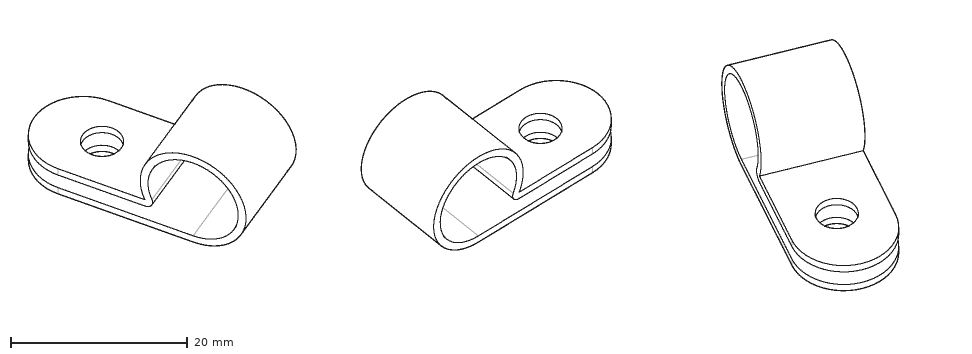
import cadquery as cq
import math

length = 30.2
width = 12.5
thickness = 1.0
loop_diameter = 13.5
tab_gap = 2.0
hole_diameter = 4.9
hole_x = 8.65

outer_radius = loop_diameter / 2
inner_radius = outer_radius - thickness
loop_x = length - outer_radius
loop_z = outer_radius

upper_bottom = thickness + tab_gap
upper_top = upper_bottom + thickness

bend_angle = math.pi - math.asin((upper_top - loop_z) / outer_radius)


def polar(center, radius, angle):
    """Point on a circle in the XZ profile."""
    return (center[0] + radius * math.cos(angle), center[1] + radius * math.sin(angle))


loop_center = (loop_x, loop_z)
corner = polar(loop_center, outer_radius, bend_angle)
bend_end = polar(loop_center, inner_radius, bend_angle)
bend_start_angle = -math.pi / 2
bend_end_angle = bend_angle - math.pi
bend_middle = polar(corner, thickness, (bend_start_angle + bend_end_angle) / 2)

loop_middle_angle = (-math.pi / 2 + bend_angle) / 2


def make_strap():
    """Bent strap extruded symmetrically across its width."""
    return (
        cq.Workplane("XZ")
        .moveTo(0, 0)
        .lineTo(loop_x, 0)
        .threePointArc(polar(loop_center, outer_radius, loop_middle_angle), corner)
        .lineTo(0, upper_top)
        .lineTo(0, upper_bottom)
        .lineTo(corner[0], upper_bottom)
        .threePointArc(bend_middle, bend_end)
        .threePointArc(polar(loop_center, inner_radius, loop_middle_angle), (loop_x, thickness))
        .lineTo(0, thickness)
        .close()
        .extrude(width / 2, both=True)
    )


def make_plan_outline():
    """Solid with the plan shape of the clamp: round at the tab end, square at the loop."""
    tab_radius = width / 2
    return (
        cq.Workplane("XY")
        .moveTo(length, -tab_radius)
        .lineTo(tab_radius, -tab_radius)
        .threePointArc((0, 0), (tab_radius, tab_radius))
        .lineTo(length, tab_radius)
        .close()
        .extrude(loop_diameter)
    )


def make_hole():
    """Screw hole through both tabs."""
    return cq.Workplane("XY").center(hole_x, 0).circle(hole_diameter / 2).extrude(upper_top)


result = make_strap().intersect(make_plan_outline()).cut(make_hole())